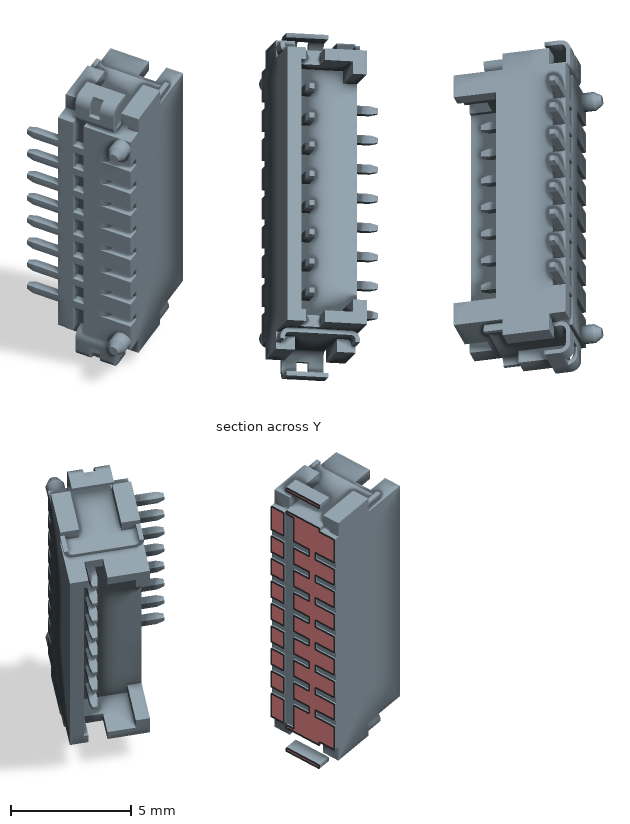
import cadquery as cq


total_height = 14.65
body_width = 3.4
body_depth = 4.8
body_height = 11.7
body_top = body_height / 2
mid_x = body_width / 2

cavity_depth = 1.83
cavity_floor = body_depth - cavity_depth
side_wall = 0.6
end_wall = 0.5
window_end_margin = 1.03
notch_left = 1.8
notch_width = 0.8
notch_depth = 0.97

groove_depth = 0.54
long_groove_left = 0.7
long_groove_width = 0.5

pin_count = 8
pin_row_span = 8.75
pin_pitch = pin_row_span / (pin_count - 1)
pin_size = 0.35
pin_tip_size = 0.22
pin_taper = 0.32
pin_overhang = 1.5
pin_post_right = 2.39
pin_post_x = pin_post_right - pin_size / 2
pin_post_end = 4.19
pin_bend_outer = 0.48
pin_bend_inner = pin_bend_outer - pin_size

peg_radius = 0.4
peg_end_inset = 0.41
peg_tip_radius = 0.2
peg_length = 0.79
peg_straight = 0.48

ear_width = 0.8
ear_front = 0.7
ear_back = 2.7
ear_height = 0.75

sheet = 0.19
clip_width = body_width - 2 * ear_width
clip_rise = (total_height - body_height) / 2
clip_leg = 1.1
clip_bend_outer = 0.44
clip_bend_inner = clip_bend_outer - sheet
clip_window_width = 0.5
clip_window_bottom = 0.66
clip_window_depth = 0.4

wing_inset = 0.48
wing_width = body_width - 2 * wing_inset
wing_recess = 0.2
wing_front = ear_front + wing_recess
wing_corner = 0.25
tail_length = 0.82
tail_height = 0.48
tail_bend_outer = 0.4
tail_bend_inner = tail_bend_outer - sheet


def block(x0, x1, y0, y1, z0, z1):
    """Box given by its lower and upper limit on each axis."""
    return cq.Workplane("XY").box(x1 - x0, y1 - y0, z1 - z0, centered=False).translate((x0, y0, z0))


def make_housing():
    """Housing with its cavity, the window in the pin-side wall and the end notches."""
    housing = block(0, body_width, 0, body_depth, -body_top, body_top)

    cavity_top = body_top - end_wall
    cavity = block(side_wall, body_width - side_wall, cavity_floor, body_depth, -cavity_top, cavity_top)
    window_top = body_top - window_end_margin
    window = block(0, side_wall, cavity_floor, body_depth, -window_top, window_top)
    notches = block(
        notch_left, notch_left + notch_width,
        body_depth - notch_depth, body_depth,
        -body_top, body_top,
    )
    long_groove = block(
        long_groove_left, long_groove_left + long_groove_width,
        0, groove_depth,
        -body_top, body_top,
    )
    return housing.cut(cavity).cut(window).cut(notches).cut(long_groove)


def make_pin_groove():
    """Groove across the mounting face for one pin."""
    return block(0, body_width, 0, groove_depth, -pin_size / 2, pin_size / 2)


def make_pin_tip():
    """Square tapered tip with its base at the origin, pointing along +Z."""
    return (
        cq.Workplane("XY")
        .rect(pin_size, pin_size)
        .workplane(offset=pin_taper)
        .rect(pin_tip_size, pin_tip_size)
        .loft(combine=True)
    )


def make_pin():
    """L-shaped square pin: a tail along -X and a contact post along +Y."""
    half = pin_size / 2
    tail_end = -pin_overhang + pin_taper
    post_end = pin_post_end - pin_taper
    inner_corner_x = pin_post_right - pin_size

    pin = block(tail_end, pin_post_right, 0, post_end, -half, half)
    pin = pin.edges("|Z and >X and <Y").fillet(pin_bend_outer)
    inside = block(tail_end, inner_corner_x, pin_size, post_end, -half, half)
    inside = inside.edges("|Z and >X and <Y").fillet(pin_bend_inner)
    pin = pin.cut(inside)

    tail_tip = make_pin_tip().rotate((0, 0, 0), (0, 1, 0), -90).translate((tail_end, half, 0))
    post_tip = make_pin_tip().rotate((0, 0, 0), (1, 0, 0), -90).translate((pin_post_x, post_end, 0))
    return pin.union(tail_tip).union(post_tip)


def make_peg():
    """Locating peg with a conical tip, next to the wall opposite the pins."""
    return (
        cq.Workplane("XY")
        .moveTo(0, 0)
        .lineTo(peg_radius, 0)
        .lineTo(peg_radius, -peg_straight)
        .lineTo(peg_tip_radius, -peg_length)
        .lineTo(0, -peg_length)
        .close()
        .revolve(360, (0, 0, 0), (0, 1, 0))
        .translate((body_width - peg_radius, 0, body_top - peg_end_inset))
    )


def make_ears():
    """Pair of ears on the housing end, with a slot in each for a clip wing."""
    ears = block(0, body_width, ear_front, ear_back, 0, ear_height)
    gap = block(ear_width, body_width - ear_width, ear_front, ear_back, 0, ear_height)
    slot = block(wing_inset, body_width - wing_inset, ear_front, ear_back, 0, sheet)
    return ears.cut(gap).cut(slot)


def make_clip_hook():
    """C-shaped solder tab with a small window through its upper bend."""
    left = mid_x - clip_width / 2
    right = mid_x + clip_width / 2
    hook = block(left, right, 0, clip_leg, 0, clip_rise).edges("|X and <Y").fillet(clip_bend_outer)
    inside = block(left, right, sheet, clip_leg, sheet, clip_rise - sheet)
    inside = inside.edges("|X and <Y").fillet(clip_bend_inner)
    window = block(
        mid_x - clip_window_width / 2, mid_x + clip_window_width / 2,
        0, clip_window_depth,
        clip_window_bottom, clip_rise,
    )
    return hook.cut(inside).cut(window)


def make_clip_plate():
    """Flat part of the clip: a strip between the ears and the round-cornered wings."""
    strip = block(mid_x - clip_width / 2, mid_x + clip_width / 2, clip_leg, ear_back, 0, sheet)
    wings = block(mid_x - wing_width / 2, mid_x + wing_width / 2, wing_front, ear_back, 0, sheet)
    wings = wings.edges("|Z and <Y").fillet(wing_corner)
    return strip.union(wings)


def make_clip_tail():
    """Tail behind the ears, as wide as the housing, with both sides bent up."""
    tail_back = ear_back + tail_length
    tail = block(0, body_width, ear_back, tail_back, 0, tail_height)
    tail = tail.edges("|Y and <Z").fillet(tail_bend_outer)
    inside = block(sheet, body_width - sheet, ear_back, tail_back, sheet, tail_height)
    inside = inside.edges("|Y and <Z").fillet(tail_bend_inner)
    return tail.cut(inside)


def make_end():
    """Ears, clip and peg at the upper end of the housing."""
    end = make_ears().union(make_clip_plate()).union(make_clip_hook()).union(make_clip_tail())
    return end.translate((0, 0, body_top)).union(make_peg())


result = make_housing()

for index in range(pin_count):
    pin_z = index * pin_pitch - pin_row_span / 2
    result = result.cut(make_pin_groove().translate((0, 0, pin_z)))
    result = result.union(make_pin().translate((0, 0, pin_z)))

upper_end = make_end()
result = result.union(upper_end).union(upper_end.mirror("XY"))